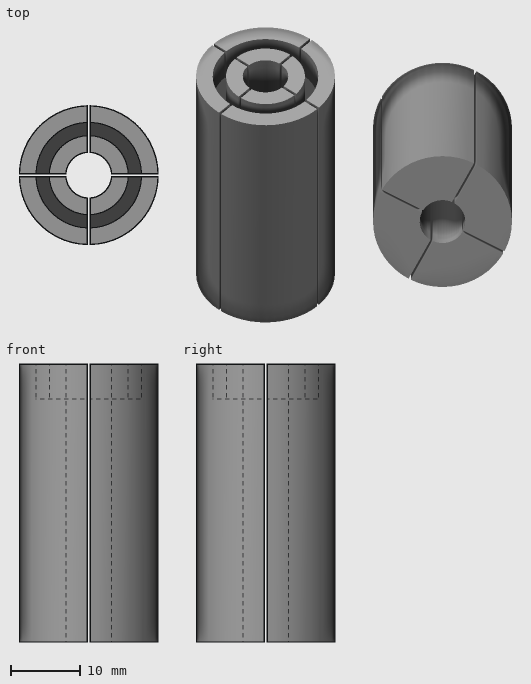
import cadquery as cq

length = 40.0
outer_diameter = 20.0
bore_diameter = 6.55
wall_thickness = 2.4
groove_depth = 5.0
slot_width = 0.4
segment_count = 4

outer_radius = outer_diameter / 2
bore_radius = bore_diameter / 2
groove_inner_radius = bore_radius + wall_thickness
groove_outer_radius = outer_radius - wall_thickness
segment_angle = 360 / segment_count


def make_grooved_sleeve():
    """Full tube with an annular groove in its top face."""
    tube = cq.Workplane("XY").circle(outer_radius).circle(bore_radius).extrude(length)
    groove = (
        cq.Workplane("XY")
        .workplane(offset=length - groove_depth)
        .circle(groove_outer_radius)
        .circle(groove_inner_radius)
        .extrude(groove_depth)
    )
    return tube.cut(groove)


def make_segment(index):
    """One quarter of the sleeve, set back half a slot width from both dividing planes."""
    quadrant = (
        cq.Workplane("XY")
        .rect(outer_radius, outer_radius, centered=False)
        .extrude(length)
        .translate((slot_width / 2, slot_width / 2, 0))
    )
    quarter = make_grooved_sleeve().intersect(quadrant)
    return quarter.rotate((0, 0, 0), (0, 0, 1), index * segment_angle)


segments = [make_segment(index) for index in range(segment_count)]

result = cq.Compound.makeCompound([segment.solids().val() for segment in segments])